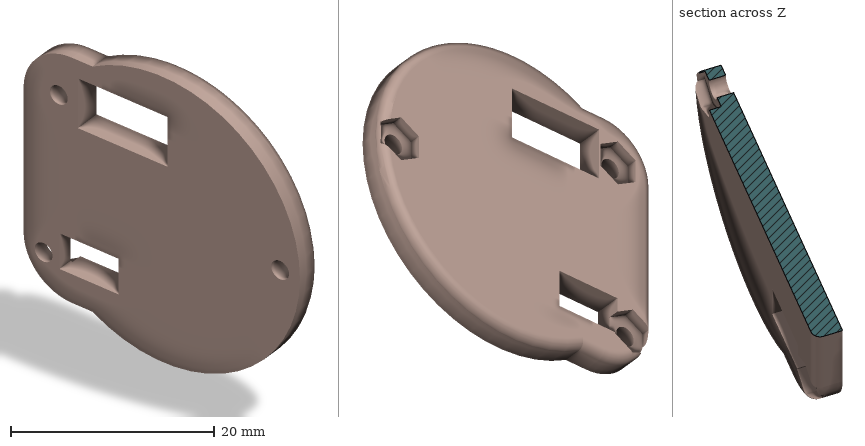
import cadquery as cq
import math

length = 34.25
disc_diameter = 34.0
disc_radius = disc_diameter / 2
tab_left = disc_radius - length
tab_height = 29.2
tab_corner_radius = 6.0
thickness = 3.0
back_edge_radius = 1.0

hole_diameter = 2.2
nut_across_flats = 4.5
nut_pocket_depth = 1.25
screw_centers = [(-12.88, 9.5), (-14.75, -10.05), (14.55, 0)]

windows = [
    (-4.95, 9.5, 11.05, 5.93),
    (-9.15, -9.08, 7.3, 4.25),
]


def prism(outline, start, depth):
    """Extrude an XZ outline toward +Y, beginning at Y = start."""
    return outline.extrude(-depth).translate((0, start, 0))


def plate():
    disc = prism(cq.Workplane("XZ").circle(disc_radius), 0, thickness)
    tab_width = -tab_left
    tab_outline = cq.Workplane("XZ").center(tab_left / 2, 0).rect(tab_width, tab_height)
    tab = prism(tab_outline, 0, thickness).edges("|Y and <X").fillet(tab_corner_radius)
    return disc.union(tab).faces(">Y").edges().fillet(back_edge_radius)


def nut_pocket(x, z):
    """Hexagon with two flats facing -X and +X, cut from the back face."""
    corner_radius = nut_across_flats / math.sqrt(3)
    corners = []
    for i in range(6):
        angle = math.radians(30 + 60 * i)
        corners.append((x + corner_radius * math.cos(angle), z + corner_radius * math.sin(angle)))
    outline = cq.Workplane("XZ").polyline(corners).close()
    return prism(outline, thickness - nut_pocket_depth, nut_pocket_depth)


result = plate()

for x, z, width, height in windows:
    window = cq.Workplane("XZ").center(x, z).rect(width, height)
    result = result.cut(prism(window, 0, thickness))

for x, z in screw_centers:
    hole = cq.Workplane("XZ").center(x, z).circle(hole_diameter / 2)
    result = result.cut(prism(hole, 0, thickness))
    result = result.cut(nut_pocket(x, z))